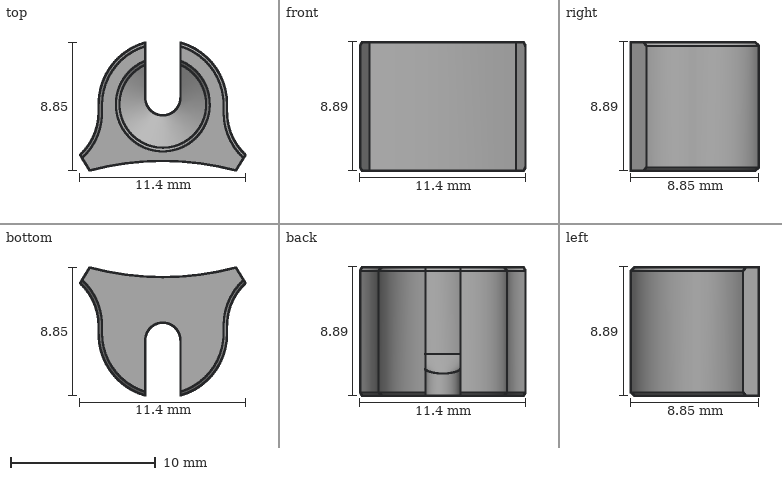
import cadquery as cq
import math

height = 8.89
outer_radius = 4.45
chamfer = 0.25

foot_tip_x = 5.72
foot_tip_y = -3.49
foot_heel_x = 5.05
foot_heel_y = -4.57
saddle_crown_y = -3.91
straight_end_y = -0.57

bore_radius = 3.0
bore_depth = 6.0
cone_angle = 118.0

slot_width = 2.41
slot_center_y = 0.46

flank_run = foot_tip_x - outer_radius
flank_drop = straight_end_y - foot_tip_y
flank_radius = (flank_run**2 + flank_drop**2) / (2 * flank_run)
flank_half_angle = math.asin(flank_drop / flank_radius) / 2
flank_mid_x = outer_radius + flank_radius * (1 - math.cos(flank_half_angle))
flank_mid_y = straight_end_y - flank_radius * math.sin(flank_half_angle)


def make_body():
    """Extrude the clip outline and bevel both ends of its outer wall."""
    body = (
        cq.Workplane("XY")
        .moveTo(outer_radius, 0)
        .threePointArc((0, outer_radius), (-outer_radius, 0))
        .lineTo(-outer_radius, straight_end_y)
        .threePointArc((-flank_mid_x, flank_mid_y), (-foot_tip_x, foot_tip_y))
        .lineTo(-foot_heel_x, foot_heel_y)
        .threePointArc((0, saddle_crown_y), (foot_heel_x, foot_heel_y))
        .lineTo(foot_tip_x, foot_tip_y)
        .threePointArc((flank_mid_x, flank_mid_y), (outer_radius, straight_end_y))
        .close()
        .extrude(height)
    )
    rims = body.faces("<Z or >Z").edges().filter(lambda edge: edge.Center().y > foot_tip_y)
    return rims.chamfer(chamfer)


def make_bore():
    """Revolve the bore, its entry chamfer and its conical bottom."""
    bore_bottom = height - bore_depth
    cone_depth = bore_radius / math.tan(math.radians(cone_angle / 2))
    return (
        cq.Workplane("XZ")
        .moveTo(0, bore_bottom - cone_depth)
        .lineTo(bore_radius, bore_bottom)
        .lineTo(bore_radius, height - chamfer)
        .lineTo(bore_radius + chamfer, height)
        .lineTo(0, height)
        .close()
        .revolve(360, (0, 0), (0, 1))
    )


def make_slot():
    """Full-height slot from its rounded end out through the +Y wall."""
    half_width = slot_width / 2
    return (
        cq.Workplane("XY")
        .moveTo(-half_width, outer_radius)
        .lineTo(-half_width, slot_center_y)
        .threePointArc((0, slot_center_y - half_width), (half_width, slot_center_y))
        .lineTo(half_width, outer_radius)
        .close()
        .extrude(height)
    )


result = make_body().cut(make_bore()).cut(make_slot())